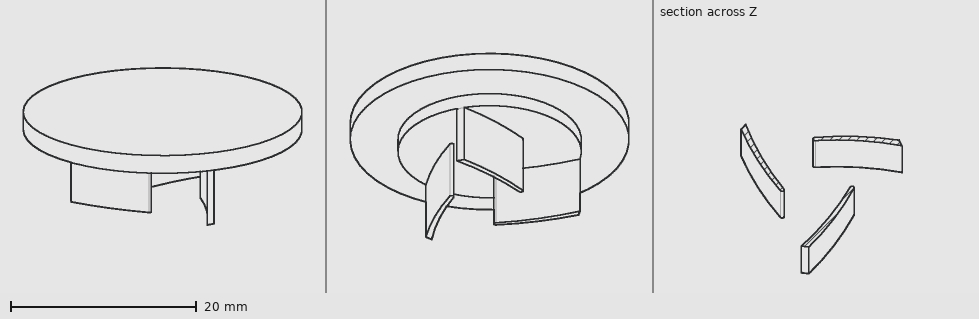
import cadquery as cq
import math

disc_diameter = 30.0
disc_thickness = 2.0
boss_diameter = 19.7
boss_height = 1.5
total_height = 10.0
blade_height = total_height - disc_thickness - boss_height

blade_count = 3
blade_face_radius = 33.0
blade_convex_end_angle = 131.1
blade_concave_end_angle = 126.1
tip_radius = 0.25
tip_center = (-4.15, -1.32)
tip_convex_angle = 200.0


def polar_point(center, radius, angle):
    """Point at a distance and an angle in degrees from a center."""
    return (
        center[0] + radius * math.cos(math.radians(angle)),
        center[1] + radius * math.sin(math.radians(angle)),
    )


def make_blade():
    """Curved, tapering blade with a rounded inner tip and an outer end flush with the boss."""
    axis = (0, 0)
    boss_radius = boss_diameter / 2
    end_middle_angle = (blade_convex_end_angle + blade_concave_end_angle) / 2
    convex_end = polar_point(axis, boss_radius, blade_convex_end_angle)
    end_middle = polar_point(axis, boss_radius, end_middle_angle)
    concave_end = polar_point(axis, boss_radius, blade_concave_end_angle)
    tip_convex = polar_point(tip_center, tip_radius, tip_convex_angle)
    tip_end = polar_point(tip_center, tip_radius, tip_convex_angle + 90)
    tip_concave = polar_point(tip_center, tip_radius, tip_convex_angle + 180)
    return (
        cq.Workplane("XY")
        .moveTo(*tip_convex)
        .radiusArc(convex_end, blade_face_radius)
        .threePointArc(end_middle, concave_end)
        .radiusArc(tip_concave, -blade_face_radius)
        .threePointArc(tip_end, tip_convex)
        .close()
        .extrude(blade_height)
    )


blade = make_blade()
blades = cq.Workplane("XY")
for index in range(blade_count):
    blades = blades.add(blade.rotate((0, 0, 0), (0, 0, 1), index * 360 / blade_count))

boss = cq.Workplane("XY", origin=(0, 0, blade_height)).circle(boss_diameter / 2).extrude(boss_height)
disc = (
    cq.Workplane("XY", origin=(0, 0, blade_height + boss_height))
    .circle(disc_diameter / 2)
    .extrude(disc_thickness)
)
result = disc.union(boss).union(blades.combine(), clean=False)